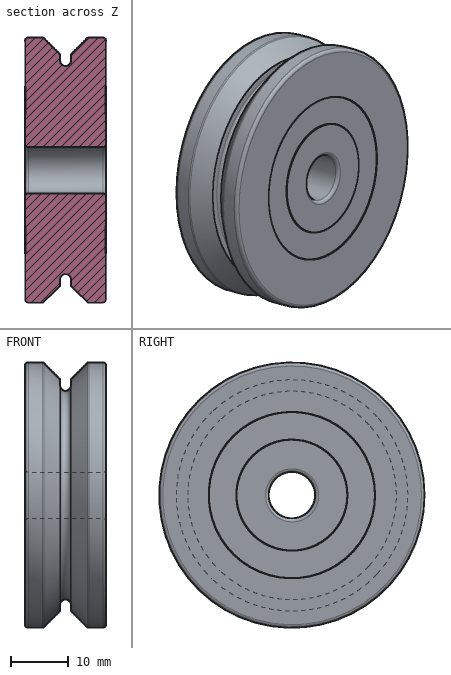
import cadquery as cq
import math

width = 14.0
rim_radius = 22.9
bore_radius = 4.0
edge_round = 0.6

shoulder_half_gap = 3.85
shoulder_round = 0.35
slot_half_width = 0.9
slot_floor_radius = 18.0

recess_inner_radius = 9.53
recess_outer_radius = 14.4
recess_depth = 0.1

half_width = width / 2
slot_arc_center = slot_floor_radius + slot_half_width
flank_foot_radius = rim_radius - (shoulder_half_gap - slot_half_width)
shoulder_setback = shoulder_round * math.tan(math.radians(45 / 2))
flank_step = shoulder_setback * math.sin(math.radians(45))
shoulder_mid_offset = shoulder_round * math.sin(math.radians(45 / 2))
shoulder_mid_drop = shoulder_round * (1 - math.cos(math.radians(45 / 2)))
shoulder_tangent = shoulder_half_gap + shoulder_setback
shoulder_mid = shoulder_tangent - shoulder_mid_offset
flank_top = shoulder_half_gap - flank_step
round_inset = edge_round * (1 - math.sin(math.radians(45)))


def make_wheel():
    """Revolve the rim, V groove and rounded bore profile."""
    bore_mouth = bore_radius + edge_round
    rim_start = rim_radius - edge_round
    round_start = half_width - edge_round
    profile = (
        cq.Workplane("XY")
        .moveTo(-round_start, bore_radius)
        .threePointArc((-half_width + round_inset, bore_radius + round_inset), (-half_width, bore_mouth))
        .lineTo(-half_width, rim_start)
        .threePointArc((-half_width + round_inset, rim_radius - round_inset), (-round_start, rim_radius))
        .lineTo(-shoulder_tangent, rim_radius)
        .threePointArc((-shoulder_mid, rim_radius - shoulder_mid_drop), (-flank_top, rim_radius - flank_step))
        .lineTo(-slot_half_width, flank_foot_radius)
        .lineTo(-slot_half_width, slot_arc_center)
        .threePointArc((0, slot_floor_radius), (slot_half_width, slot_arc_center))
        .lineTo(slot_half_width, flank_foot_radius)
        .lineTo(flank_top, rim_radius - flank_step)
        .threePointArc((shoulder_mid, rim_radius - shoulder_mid_drop), (shoulder_tangent, rim_radius))
        .lineTo(round_start, rim_radius)
        .threePointArc((half_width - round_inset, rim_radius - round_inset), (half_width, rim_start))
        .lineTo(half_width, bore_mouth)
        .threePointArc((half_width - round_inset, bore_radius + round_inset), (round_start, bore_radius))
        .close()
    )
    return profile.revolve(360, (0, 0, 0), (1, 0, 0))


def make_recess():
    """Ring cutter for the left face, narrowing with depth."""
    floor_x = -half_width + recess_depth
    profile = cq.Workplane("XY").polyline(
        [
            (-half_width, recess_inner_radius),
            (floor_x, recess_inner_radius + recess_depth),
            (floor_x, recess_outer_radius - recess_depth),
            (-half_width, recess_outer_radius),
        ]
    )
    return profile.close().revolve(360, (0, 0, 0), (1, 0, 0))


left_recess = make_recess()
result = make_wheel().cut(left_recess).cut(left_recess.mirror("YZ"))